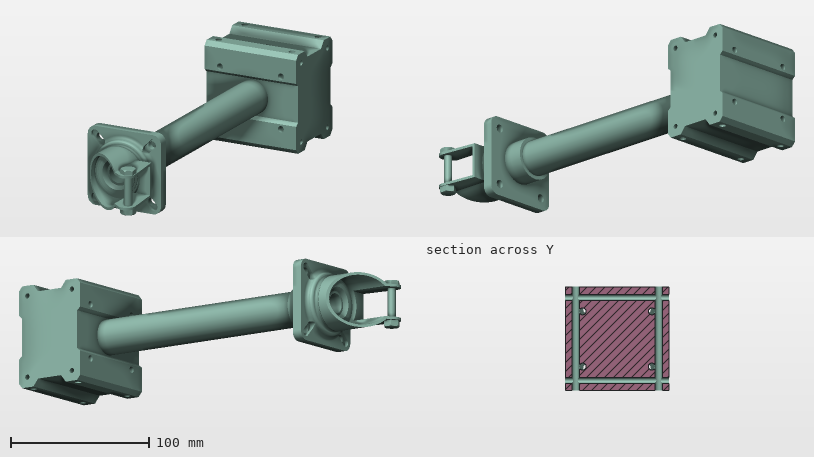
import cadquery as cq
import math


BLOCK_WIDTH = 75.0
BLOCK_DEPTH = 55.0
BLOCK_HEIGHT = 75.0
BLOCK_BACK_Y = 245.0
BLOCK_CENTER_Y = BLOCK_BACK_Y - BLOCK_DEPTH / 2
CORNER_CHAMFER_Y = 3.0
CORNER_CHAMFER_Z = 3.5
TOP_GROOVE_DEPTH = 5.3
TOP_GROOVE_MOUTH = 14.5
TOP_GROOVE_FLOOR = 10.5
SIDE_GROOVE_DEPTH = 2.7
SIDE_GROOVE_MOUTH = 16.3
SIDE_GROOVE_FLOOR = 14.0
X_HOLE_DIAMETER = 3.8
Y_HOLE_DIAMETER = 4.7
Z_HOLE_DIAMETER = 5.0
HOLE_PITCH_LONG = 60.0
HOLE_PITCH_SHORT = 40.0
FRONT_HOLE_PITCH_X = 50.0
CENTER_HOLE_DIAMETER = 3.8
CENTER_HOLE_DEPTH = 6.0

TUBE_DIAMETER = 26.0
TUBE_END_Y = BLOCK_BACK_Y - BLOCK_DEPTH + SIDE_GROOVE_DEPTH
PLATE_SIZE = 60.0
PLATE_CORNER_RADIUS = 6.5
SOCKET_PLATE_THICKNESS = 4.7
SLEEVE_DIAMETER = 31.7
SLEEVE_LENGTH = 15.0
SET_SCREW_DIAMETER = 5.0
SET_SCREW_Y = SOCKET_PLATE_THICKNESS + SLEEVE_LENGTH / 2
BOLT_HOLE_OFFSET = 21.3
BOLT_HOLE_DIAMETER = 6.2
SLOT_LENGTH = 14.0

YOKE_PLATE_THICKNESS = 2.7
RING_BASE_RADIUS = 26.0
RING_RADIUS = 23.5
RING_ROUND = 2.5
NECK_FILLET = 1.5
NECK_RADIUS = RING_RADIUS - RING_ROUND - NECK_FILLET
NECK_END = 10.5
LIP_CHAMFER = 1.0
YOKE_DIAMETER = 40.5
YOKE_RADIUS = YOKE_DIAMETER / 2
WALL = 1.92
WEB_BACK = 14.0
WEB_FRONT = WEB_BACK + WALL
YOKE_LENGTH = 51.0
CUT_START = 17.8
EAR_OUTER_Z = 13.0
EAR_BACK_X = 28.0
TIP_CENTER_X = 24.3
TIP_RADIUS = 6.8

RIM_BASE_RADIUS = 19.8
RIM_END_RADIUS = 19.0
RIM_HEIGHT = 1.0
RECESS_RADIUS = YOKE_RADIUS - WALL
FLOOR_GROOVE_RADIUS = 16.5
LAND_RADIUS = 14.8
FLOOR_STEP = 0.5
FLOOR_DEPTH = 1.5
BORE_MOUTH_RADIUS = 11.8
BORE_STEP_RADIUS = 9.2
BORE_STEP = 11.5
BORE_INNER_RADIUS = 7.5
BORE_END_RADIUS = 5.5

PIN_X = 25.0
PIN_DISTANCE = 43.5
PIN_DIAMETER = 6.0
HEAD_ACROSS_FLATS = 10.5
HEAD_HEIGHT = 3.5
NUT_HEIGHT = 4.5


def rod_y(radius, y_start, y_end):
    """Cylinder along Y, centred on the tube axis."""
    return cq.Workplane("XZ", origin=(0, y_start, 0)).circle(radius).extrude(y_start - y_end)


def corner_points(pitch_a, pitch_b):
    """Four points at the corners of a centred rectangle."""
    return [(a * pitch_a / 2, b * pitch_b / 2) for a in (-1, 1) for b in (-1, 1)]


def square_plate(y_start, y_end):
    """Square flange plate with rounded corners."""
    plate = cq.Workplane("XZ", origin=(0, y_start, 0)).rect(PLATE_SIZE, PLATE_SIZE)
    return plate.extrude(y_start - y_end).edges("|Y").fillet(PLATE_CORNER_RADIUS)


def make_block():
    """Mounting block: a grooved and chamfered bar along X, drilled along all three axes."""
    half_d = BLOCK_DEPTH / 2
    half_h = BLOCK_HEIGHT / 2
    quarter = [
        (half_d - SIDE_GROOVE_DEPTH, SIDE_GROOVE_FLOOR),
        (half_d, SIDE_GROOVE_MOUTH),
        (half_d, half_h - CORNER_CHAMFER_Z),
        (half_d - CORNER_CHAMFER_Y, half_h),
        (TOP_GROOVE_MOUTH, half_h),
        (TOP_GROOVE_FLOOR, half_h - TOP_GROOVE_DEPTH),
    ]
    half = quarter + [(-y, z) for y, z in reversed(quarter)]
    outline = half + [(y, -z) for y, z in reversed(half)]
    center = (0, BLOCK_CENTER_Y, 0)
    block = cq.Workplane("YZ", origin=center).polyline(outline).close().extrude(BLOCK_WIDTH / 2, both=True)

    hole_sets = [
        ("YZ", HOLE_PITCH_SHORT, HOLE_PITCH_LONG, X_HOLE_DIAMETER),
        ("XZ", FRONT_HOLE_PITCH_X, HOLE_PITCH_SHORT, Y_HOLE_DIAMETER),
        ("XY", HOLE_PITCH_LONG, HOLE_PITCH_SHORT, Z_HOLE_DIAMETER),
    ]
    for plane, pitch_a, pitch_b, diameter in hole_sets:
        holes = cq.Workplane(plane, origin=center).pushPoints(corner_points(pitch_a, pitch_b))
        block = block.cut(holes.circle(diameter / 2).extrude(BLOCK_WIDTH, both=True))

    groove_floor_z = half_h - TOP_GROOVE_DEPTH
    center_hole = cq.Workplane("XY", origin=(0, BLOCK_CENTER_Y, groove_floor_z))
    return block.cut(center_hole.circle(CENTER_HOLE_DIAMETER / 2).extrude(-CENTER_HOLE_DEPTH))


def make_tube():
    """Round tube from the socket plate to the groove floor of the block."""
    return rod_y(TUBE_DIAMETER / 2, SOCKET_PLATE_THICKNESS, TUBE_END_Y)


def make_socket():
    """Flange plate with a sleeve that holds the tube."""
    sleeve_end = SOCKET_PLATE_THICKNESS + SLEEVE_LENGTH
    socket = square_plate(0, SOCKET_PLATE_THICKNESS)
    socket = socket.union(rod_y(SLEEVE_DIAMETER / 2, SOCKET_PLATE_THICKNESS, sleeve_end))
    socket = socket.cut(rod_y(TUBE_DIAMETER / 2, SOCKET_PLATE_THICKNESS, sleeve_end))
    bolt_holes = cq.Workplane("XZ").pushPoints(corner_points(2 * BOLT_HOLE_OFFSET, 2 * BOLT_HOLE_OFFSET))
    socket = socket.cut(bolt_holes.circle(BOLT_HOLE_DIAMETER / 2).extrude(-SOCKET_PLATE_THICKNESS))
    set_screw = cq.Workplane("XY", origin=(0, SET_SCREW_Y, 0))
    return socket.cut(set_screw.circle(SET_SCREW_DIAMETER / 2).extrude(SLEEVE_DIAMETER))


def yoke_base():
    """Plate, rounded ring and neck, turned about the tube axis."""
    base_fillet = RING_BASE_RADIUS - RING_RADIUS
    fillet_end = -YOKE_PLATE_THICKNESS - base_fillet
    round_end = (RING_RADIUS - RING_ROUND, fillet_end - RING_ROUND)
    neck_start = (NECK_RADIUS, round_end[1] - NECK_FILLET)
    ring = (
        cq.Workplane("XY")
        .moveTo(0, -YOKE_PLATE_THICKNESS / 2)
        .lineTo(RING_BASE_RADIUS, -YOKE_PLATE_THICKNESS / 2)
        .lineTo(RING_BASE_RADIUS, -YOKE_PLATE_THICKNESS)
        .radiusArc((RING_RADIUS, fillet_end), -base_fillet)
        .radiusArc(round_end, RING_ROUND)
        .radiusArc(neck_start, -NECK_FILLET)
        .lineTo(NECK_RADIUS, -NECK_END)
        .lineTo(YOKE_RADIUS, -NECK_END - LIP_CHAMFER)
        .lineTo(YOKE_RADIUS, -WEB_BACK)
        .lineTo(RIM_BASE_RADIUS, -WEB_FRONT)
        .lineTo(RIM_END_RADIUS, -WEB_FRONT - RIM_HEIGHT)
        .lineTo(0, -WEB_FRONT - RIM_HEIGHT)
        .close()
        .revolve(360, (0, 0, 0), (0, 1, 0))
    )
    return square_plate(-YOKE_PLATE_THICKNESS, 0).union(ring)


def yoke_side_envelope():
    """Side outline of the clamp, extruded through its whole height."""
    tip = (TIP_CENTER_X, -YOKE_LENGTH + TIP_RADIUS)
    start = (-YOKE_RADIUS, -CUT_START)
    to_tip = math.hypot(tip[0] - start[0], tip[1] - start[1])
    slant = math.atan2(tip[1] - start[1], tip[0] - start[0]) - math.asin(TIP_RADIUS / to_tip)
    tangent = (tip[0] + TIP_RADIUS * math.sin(slant), tip[1] - TIP_RADIUS * math.cos(slant))
    return (
        cq.Workplane("XY")
        .moveTo(-YOKE_RADIUS, -WEB_BACK)
        .lineTo(*start)
        .lineTo(*tangent)
        .threePointArc((tip[0], -YOKE_LENGTH), (tip[0] + TIP_RADIUS, tip[1]))
        .lineTo(EAR_BACK_X, -WEB_BACK)
        .close()
        .extrude(BLOCK_HEIGHT, both=True)
    )


def yoke_clamp():
    """Open clamp wall: a round shell whose open side carries two flat ears."""
    def profile(radius, half_height, back, front):
        shell = rod_y(radius, -front, -back)
        ears = cq.Workplane("XY").box(2 * PLATE_SIZE, front - back, 2 * half_height)
        ears = ears.translate((PLATE_SIZE, -(front + back) / 2, 0))
        return shell.union(ears)

    outer = profile(YOKE_RADIUS, EAR_OUTER_Z, WEB_BACK, YOKE_LENGTH)
    inner = profile(YOKE_RADIUS - WALL, EAR_OUTER_Z - WALL, WEB_FRONT, YOKE_LENGTH)
    return outer.cut(inner).intersect(yoke_side_envelope())


def yoke_bore():
    """Stepped conical opening from the clamp floor through to the parting plane."""
    land = -WEB_FRONT + FLOOR_DEPTH
    rim_end = -WEB_FRONT - RIM_HEIGHT
    return (
        cq.Workplane("XY")
        .moveTo(0, rim_end)
        .lineTo(RECESS_RADIUS, rim_end)
        .lineTo(RECESS_RADIUS, land + 2 * FLOOR_STEP)
        .lineTo(FLOOR_GROOVE_RADIUS, land + 2 * FLOOR_STEP)
        .lineTo(FLOOR_GROOVE_RADIUS, land + FLOOR_STEP)
        .lineTo(LAND_RADIUS, land + FLOOR_STEP)
        .lineTo(LAND_RADIUS, land)
        .lineTo(BORE_MOUTH_RADIUS, land)
        .lineTo(BORE_STEP_RADIUS, -BORE_STEP)
        .lineTo(BORE_INNER_RADIUS, -BORE_STEP)
        .lineTo(BORE_END_RADIUS, 0)
        .lineTo(0, 0)
        .close()
        .revolve(360, (0, 0, 0), (0, 1, 0))
    )


def yoke_slots():
    """Four bolt slots along the diagonals of the plate."""
    diagonal = BOLT_HOLE_OFFSET * math.sqrt(2)
    slots = cq.Workplane("XZ").polarArray(diagonal, 45, 360, 4).slot2D(SLOT_LENGTH, BOLT_HOLE_DIAMETER)
    return slots.extrude(YOKE_PLATE_THICKNESS + RING_BASE_RADIUS - RING_RADIUS)


def pin_hexagon(height):
    """Hexagon with a corner toward -Y and the rim of its outer face chamfered."""
    flat_radius = HEAD_ACROSS_FLATS / 2
    corner_radius = flat_radius / math.cos(math.pi / 6)
    hexagon = cq.Workplane("XY").polygon(6, 2 * corner_radius).extrude(height)
    hexagon = hexagon.rotate((0, 0, 0), (0, 0, 1), 30)
    blank = cq.Workplane("XY").circle(corner_radius).extrude(height)
    return hexagon.intersect(blank.faces(">Z").chamfer(corner_radius - flat_radius))


def clamp_pin():
    """Rod between the ears with a hexagon head above and a hexagon nut below."""
    rod = cq.Workplane("XY").circle(PIN_DIAMETER / 2).extrude(EAR_OUTER_Z, both=True)
    head = pin_hexagon(HEAD_HEIGHT).translate((0, 0, EAR_OUTER_Z))
    nut = pin_hexagon(NUT_HEIGHT).translate((0, 0, EAR_OUTER_Z)).mirror("XY")
    return rod.union(head).union(nut).translate((PIN_X, -PIN_DISTANCE, 0))


def make_yoke():
    """Flange plate, swivel ring, clamp and clamp pin in one body."""
    yoke = yoke_base().union(yoke_clamp())
    return yoke.cut(yoke_bore()).cut(yoke_slots()).union(clamp_pin())


block = make_block()
tube = make_tube()
socket = make_socket()
yoke = make_yoke()

result = cq.Compound.makeCompound([block.val(), tube.val(), socket.val(), yoke.val()])